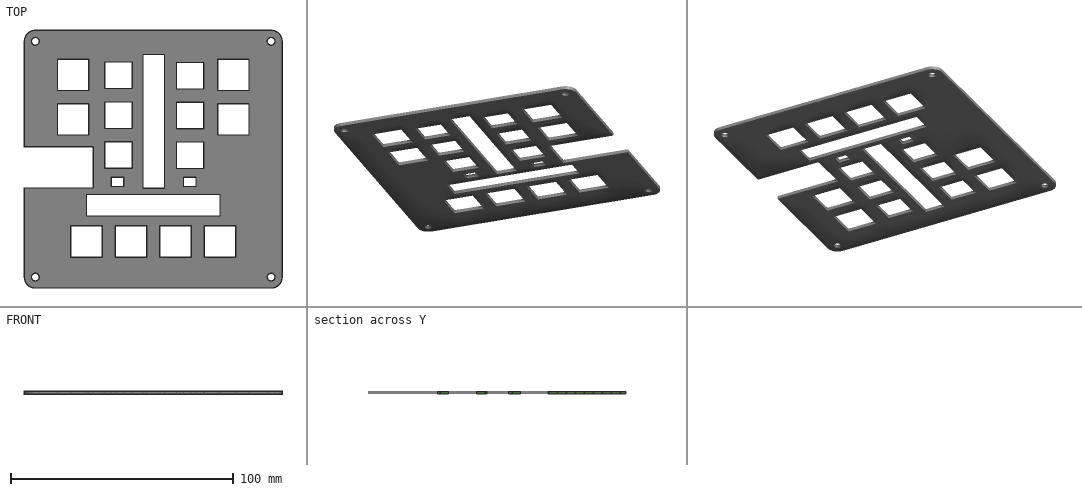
import cadquery as cq

PLATE_SIZE = 116.0
PLATE_THICKNESS = 1.5
CORNER_RADIUS = 5.0

HOLE_DIAMETER = 3.4
HOLE_SPACING = PLATE_SIZE - 2 * CORNER_RADIUS

LARGE_WINDOW = 14.0
LARGE_PITCH = 20.0
LARGE_COLUMN_X = 36.0
LARGE_GROUP_Y = 27.9
BOTTOM_ROW_Y = -37.0
BOTTOM_ROW_COUNT = 4

MEDIUM_WIDTH = 12.2
MEDIUM_HEIGHT = 11.8
MEDIUM_PITCH = 17.9
MEDIUM_COLUMN_COUNT = 3
MEDIUM_LEFT_CENTER = (-15.6, 19.8)
MEDIUM_RIGHT_CENTER = (16.6, 19.65)

SMALL_WIDTH = 5.5
SMALL_HEIGHT = 4.0
SMALL_Y = -10.2
SMALL_LEFT_X = -16.1
SMALL_RIGHT_X = 16.4

SLOT_LENGTH = 60.0
SLOT_WIDTH = 9.5
UPRIGHT_SLOT_CENTER = (0.2, 17.0)
LEVEL_SLOT_CENTER = (0.0, -20.7)

NOTCH_DEPTH = 31.0
NOTCH_HEIGHT = 18.4
NOTCH_Y = -3.7


def spaced(count, pitch, center=0.0):
    """Evenly spaced positions, symmetric about the center."""
    return [center + (i - (count - 1) / 2) * pitch for i in range(count)]


def make_plate():
    return (
        cq.Workplane("XY")
        .rect(PLATE_SIZE, PLATE_SIZE)
        .extrude(PLATE_THICKNESS)
        .edges("|Z")
        .fillet(CORNER_RADIUS)
    )


def cut_windows(plate, centers, width, height):
    """Cut a rectangular through window at each center."""
    cutter = cq.Workplane("XY").pushPoints(centers).rect(width, height).extrude(PLATE_THICKNESS)
    return plate.cut(cutter)


def cut_mounting_holes(plate):
    cutter = (
        cq.Workplane("XY")
        .rect(HOLE_SPACING, HOLE_SPACING, forConstruction=True)
        .vertices()
        .circle(HOLE_DIAMETER / 2)
        .extrude(PLATE_THICKNESS)
    )
    return plate.cut(cutter)


def cut_large_windows(plate):
    rows = spaced(2, LARGE_PITCH, LARGE_GROUP_Y)
    centers = [(x, y) for x in (-LARGE_COLUMN_X, LARGE_COLUMN_X) for y in rows]
    centers += [(x, BOTTOM_ROW_Y) for x in spaced(BOTTOM_ROW_COUNT, LARGE_PITCH)]
    return cut_windows(plate, centers, LARGE_WINDOW, LARGE_WINDOW)


def cut_medium_windows(plate):
    centers = []
    for x, middle_y in (MEDIUM_LEFT_CENTER, MEDIUM_RIGHT_CENTER):
        centers += [(x, y) for y in spaced(MEDIUM_COLUMN_COUNT, MEDIUM_PITCH, middle_y)]
    return cut_windows(plate, centers, MEDIUM_WIDTH, MEDIUM_HEIGHT)


def cut_small_windows(plate):
    centers = [(SMALL_LEFT_X, SMALL_Y), (SMALL_RIGHT_X, SMALL_Y)]
    return cut_windows(plate, centers, SMALL_WIDTH, SMALL_HEIGHT)


def cut_slots(plate):
    plate = cut_windows(plate, [UPRIGHT_SLOT_CENTER], SLOT_WIDTH, SLOT_LENGTH)
    return cut_windows(plate, [LEVEL_SLOT_CENTER], SLOT_LENGTH, SLOT_WIDTH)


def cut_notch(plate):
    center_x = (NOTCH_DEPTH - PLATE_SIZE) / 2
    return cut_windows(plate, [(center_x, NOTCH_Y)], NOTCH_DEPTH, NOTCH_HEIGHT)


result = make_plate()
result = cut_mounting_holes(result)
result = cut_large_windows(result)
result = cut_medium_windows(result)
result = cut_small_windows(result)
result = cut_slots(result)
result = cut_notch(result)